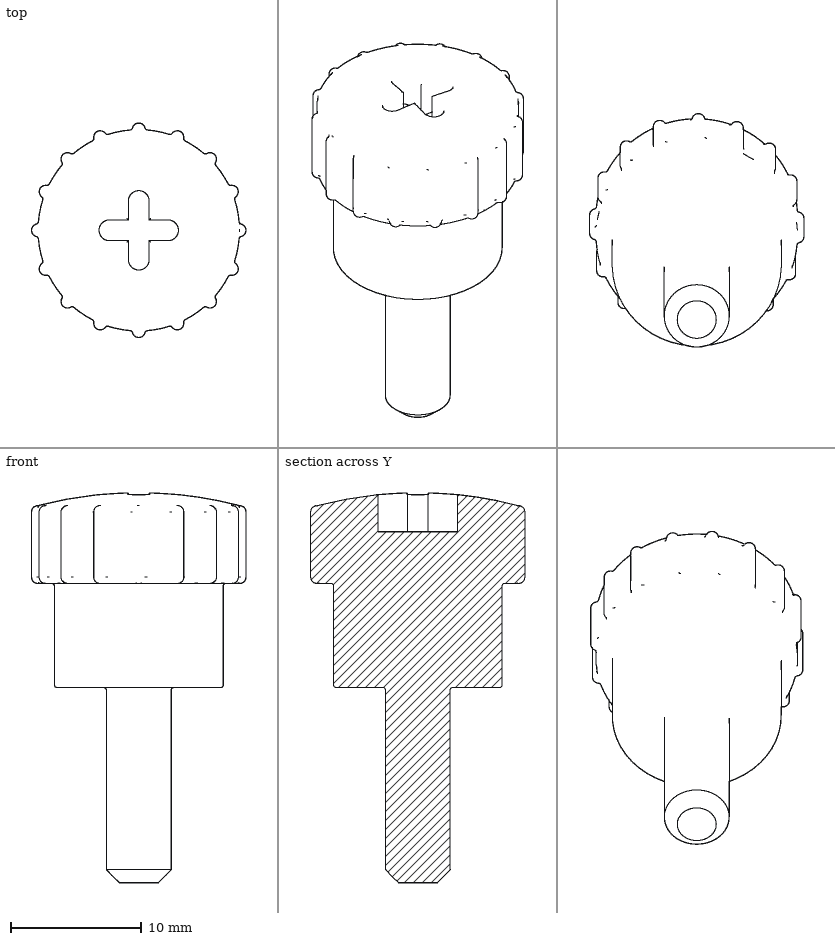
import cadquery as cq
import math

COLLAR_BOTTOM = 15.0
HEAD_BOTTOM = 23.0
HEAD_TOP = 29.0
DOME_APEX = 30.0

SHANK_RADIUS = 5.0 / 2
COLLAR_RADIUS = 13.0 / 2
HEAD_RADIUS = 15.5 / 2

TIP_CHAMFER = 1.0
BODY_FILLET = 0.2

RIB_COUNT = 16
RIB_RADIUS = 0.5
RIB_ROOT_FILLET = 0.2

RECESS_LENGTH = 6.1
RECESS_WIDTH = 1.6
RECESS_FLOOR = 27.0
RECESS_EDGE_FILLET = 0.1

PICK_MARGIN = 0.01


def edges_within(half_width, bottom, top):
    """Selector for edges lying wholly inside a square box about the Z axis."""
    reach = half_width + PICK_MARGIN
    return cq.selectors.BoxSelector(
        (-reach, -reach, bottom - PICK_MARGIN),
        (reach, reach, top + PICK_MARGIN),
        boundingbox=True,
    )


def make_body():
    """Turned shank, collar and domed head."""
    dome_rise = DOME_APEX - HEAD_TOP
    dome_radius = (HEAD_RADIUS**2 + dome_rise**2) / (2 * dome_rise)
    mid_radius = HEAD_RADIUS / 2
    mid_height = DOME_APEX - dome_radius + math.sqrt(dome_radius**2 - mid_radius**2)

    body = (
        cq.Workplane("XZ")
        .moveTo(0, 0)
        .lineTo(SHANK_RADIUS - TIP_CHAMFER, 0)
        .lineTo(SHANK_RADIUS, TIP_CHAMFER)
        .lineTo(SHANK_RADIUS, COLLAR_BOTTOM)
        .lineTo(COLLAR_RADIUS, COLLAR_BOTTOM)
        .lineTo(COLLAR_RADIUS, HEAD_BOTTOM)
        .lineTo(HEAD_RADIUS, HEAD_BOTTOM)
        .lineTo(HEAD_RADIUS, HEAD_TOP)
        .threePointArc((mid_radius, mid_height), (0, DOME_APEX))
        .close()
        .revolve(360, (0, 0, 0), (0, 1, 0))
    )
    shoulders = edges_within(HEAD_RADIUS, COLLAR_BOTTOM, HEAD_TOP)
    return body.edges("%CIRCLE").edges(shoulders).fillet(BODY_FILLET)


def add_ribs(body):
    """Grip ribs around the head, blended into it at their roots."""
    low_center = HEAD_BOTTOM + RIB_RADIUS
    high_center = HEAD_TOP - RIB_RADIUS
    diagonal = RIB_RADIUS * math.sqrt(0.5)
    rib = (
        cq.Workplane("XZ")
        .moveTo(0, HEAD_BOTTOM)
        .threePointArc((diagonal, low_center - diagonal), (RIB_RADIUS, low_center))
        .lineTo(RIB_RADIUS, high_center)
        .threePointArc((diagonal, high_center + diagonal), (0, HEAD_TOP))
        .close()
        .revolve(360, (0, 0, 0), (0, 1, 0))
        .translate((HEAD_RADIUS, 0, 0))
    )
    for index in range(RIB_COUNT):
        body = body.union(rib.rotate((0, 0, 0), (0, 0, 1), index * 360 / RIB_COUNT))

    roots = body.edges("|Z").edges(edges_within(HEAD_RADIUS, low_center, high_center))
    return roots.fillet(RIB_ROOT_FILLET)


def cut_recess(body):
    """Cross recess with round-ended arms and a softened rim."""
    depth = DOME_APEX - RECESS_FLOOR
    plane = cq.Workplane("XY", origin=(0, 0, RECESS_FLOOR))
    cross = plane.slot2D(RECESS_LENGTH, RECESS_WIDTH).extrude(depth)
    cross = cross.union(plane.slot2D(RECESS_LENGTH, RECESS_WIDTH, 90).extrude(depth))
    body = body.cut(cross)
    rim = edges_within(RECESS_LENGTH / 2, HEAD_TOP, DOME_APEX)
    return body.edges(rim).fillet(RECESS_EDGE_FILLET)


result = cut_recess(add_ribs(make_body()))